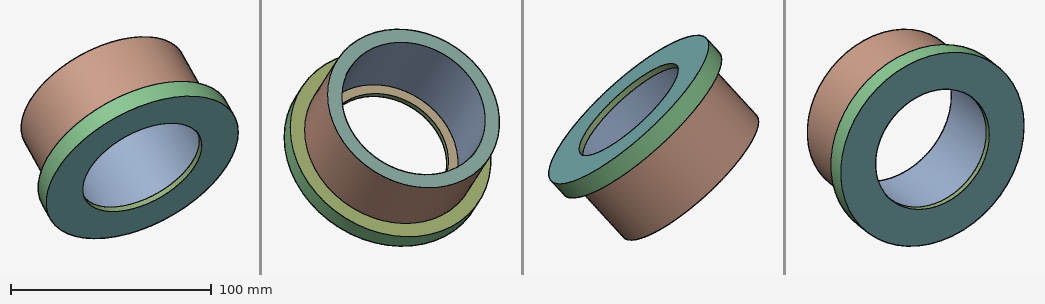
import cadquery as cq

total_length = 47.0
flange_thickness = 10.0
flange_diameter = 105.0
sleeve_diameter = 90.0
socket_diameter = 75.0
bore_diameter = 65.0
lip_thickness = 3.0

socket_depth = total_length - lip_thickness


def cylinder(diameter, start_x, length):
    """Solid cylinder along +X, beginning at start_x."""
    return cq.Workplane("YZ", origin=(start_x, 0, 0)).circle(diameter / 2).extrude(length)


sleeve = cylinder(sleeve_diameter, 0, total_length)
flange = cylinder(flange_diameter, total_length - flange_thickness, flange_thickness)
socket = cylinder(socket_diameter, 0, socket_depth)
bore = cylinder(bore_diameter, 0, total_length)

result = sleeve.union(flange).cut(socket).cut(bore)